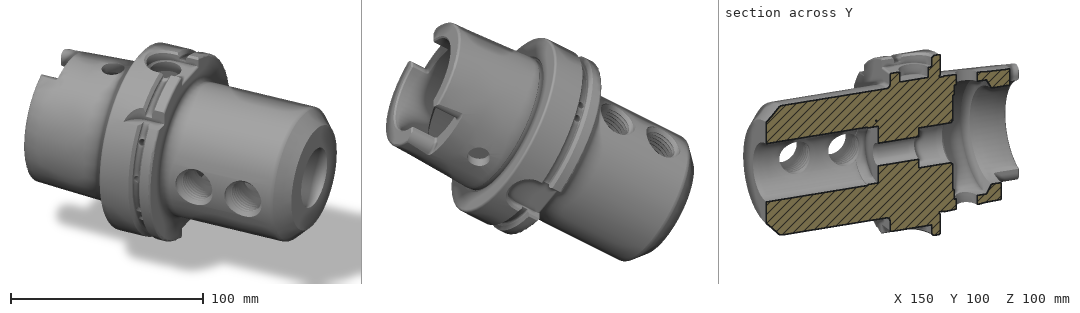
import cadquery as cq
import math


length = 150.0

taper_length = 50.0
taper_root_radius = 37.8
taper_slope = 0.05
mouth_fillet = 1.2
neck_width = 2.0
neck_depth = 0.3

flange_width = 29.1
flange_diameter = 100.0
flange_radius = flange_diameter / 2
flange_front_fillet = 1.2
flange_rear_fillet = 1.0
face_relief_radius = 38.8
face_relief_depth = 0.8
groove_center = 70.0
groove_floor_width = 3.8
groove_mouth_width = 6.5
groove_floor_radius = 46.2
groove_wall_radius = 48.0
groove_floor_fillet = 0.5

shank_radius = 36.0
shank_root_fillet = 2.0
nose_chamfer = 8.0
nose_blend = 2.5

cavity_depth = 42.8
cavity_mouth_radius = 26.5
cavity_mouth_chamfer = 0.8
clamp_shoulder_start = 20.8
clamp_shoulder_angle = 60.0
undercut_radius = 31.5
seat_radius = 25.8
seat_chamfer = 0.8

coolant_seat_radius = 11.0
coolant_seat_chamfer = 1.4
coolant_seat_depth = 19.5
coolant_radius = 6.2
bore_radius = 16.0
bore_depth = 58.0
bore_end_radius = 15.6
bore_end_depth = 6.0

slot_half_width = 9.9
slot_flare_radius = 5.1
slot_flare_height = 32.1
slot_floor_fillet = 1.2
slot_mouth_chamfer = 0.9
upper_slot_depth = 10.0
lower_slot_depth = 15.0

access_hole_x = 35.0
access_hole_radius = 6.0

keyway_center_x = 65.1
keyway_half_width = 10.0
keyway_floor = 44.0
keyway_chamfer = 1.2
chip_hole_radius = 8.1
chip_hole_depth = 5.5

notch_offset = 31.6
notch_corner_radius = 10.0
notch_corner_x = 68.4

groove_hole_radius = 1.8
groove_hole_depth = 6.8
groove_hole_angles = (30.0, 5.0, -20.0, -30.0)

flat_offset = 32.5
flat_start = 98.2
screw_positions = (98.0, 126.0)
thread_minor_radius = 8.8
thread_major_radius = 9.9
thread_pitch = 2.0
thread_count = 8
countersink_radius = 10.6

overshoot = 1.5
slack = 0.2

flange_rear = taper_length + flange_width
core_start = taper_length + face_relief_depth


def revolve_about_x(profile):
    return profile.close().revolve(360, (0, 0, 0), (1, 0, 0))


def fillet_arc_middle(radius):
    """Offset of a quarter arc's middle from the corner it rounds, along each side."""
    return radius * (1 - math.sqrt(0.5))


def taper_body():
    neck_start = taper_length - neck_width
    mouth_radius = taper_root_radius - taper_slope * neck_start
    neck_radius = taper_root_radius - neck_depth
    body = revolve_about_x(
        cq.Workplane("XY")
        .lineTo(0, mouth_radius)
        .lineTo(neck_start, taper_root_radius)
        .lineTo(neck_start + neck_depth, neck_radius)
        .lineTo(core_start, neck_radius)
        .lineTo(core_start, 0)
    )
    return body.faces("<X").edges().fillet(mouth_fillet)


def shank_body():
    root = shank_root_fillet
    middle = fillet_arc_middle(root)
    nose_corner_x = length - nose_chamfer
    body = revolve_about_x(
        cq.Workplane("XY")
        .moveTo(core_start, 0)
        .lineTo(core_start, shank_radius + root)
        .lineTo(flange_rear, shank_radius + root)
        .threePointArc(
            (flange_rear + middle, shank_radius + middle),
            (flange_rear + root, shank_radius),
        )
        .lineTo(nose_corner_x, shank_radius)
        .lineTo(length, shank_radius - nose_chamfer)
        .lineTo(length, 0)
    )
    nose_edge = cq.selectors.BoxSelector(
        (nose_corner_x - slack, -length, -length), (nose_corner_x + slack, length, length)
    )
    return body.edges(nose_edge).edges("%CIRCLE").fillet(nose_blend)


def clamping_flat():
    """Cutter for the flat on +Y, which ends in a 45 degree ramp."""
    ramp = shank_radius - flat_offset
    return (
        cq.Workplane("XY")
        .moveTo(flat_start, flat_offset)
        .lineTo(length, flat_offset)
        .lineTo(length, shank_radius + ramp)
        .lineTo(flat_start - 2 * ramp, shank_radius + ramp)
        .close()
        .extrude(shank_radius, both=True)
    )


def keyway():
    reach = 2 * keyway_half_width + flange_width
    round_end = cq.Workplane("XY").center(keyway_center_x, 0).circle(keyway_half_width)
    straight = cq.Workplane("XY").center(keyway_center_x + reach / 2, 0).rect(reach, 2 * keyway_half_width)
    height = flange_radius - keyway_floor + overshoot
    slot = round_end.extrude(height).union(straight.extrude(height))
    return slot.translate((0, 0, keyway_floor))


def orientation_notch():
    reach = flange_radius
    left = notch_corner_x - notch_corner_radius
    middle = fillet_arc_middle(notch_corner_radius)
    return (
        cq.Workplane("XY", origin=(0, 0, notch_offset))
        .moveTo(flange_rear + overshoot, -notch_offset)
        .lineTo(notch_corner_x, -notch_offset)
        .threePointArc(
            (left + middle, -notch_offset - middle),
            (left, -notch_offset - notch_corner_radius),
        )
        .lineTo(left, -reach)
        .lineTo(flange_rear + overshoot, -reach)
        .close()
        .extrude(reach)
    )


def flange_groove():
    half_floor = groove_floor_width / 2
    half_mouth = groove_mouth_width / 2
    half_flat = half_floor - groove_floor_fillet
    fillet_top = groove_floor_radius + groove_floor_fillet
    middle = fillet_arc_middle(groove_floor_fillet)
    return revolve_about_x(
        cq.Workplane("XY")
        .moveTo(groove_center - half_flat, groove_floor_radius)
        .threePointArc(
            (groove_center - half_floor + middle, groove_floor_radius + middle),
            (groove_center - half_floor, fillet_top),
        )
        .lineTo(groove_center - half_floor, groove_wall_radius)
        .lineTo(groove_center - half_mouth, flange_radius)
        .lineTo(groove_center - half_mouth, flange_radius + overshoot)
        .lineTo(groove_center + half_mouth, flange_radius + overshoot)
        .lineTo(groove_center + half_mouth, flange_radius)
        .lineTo(groove_center + half_floor, groove_wall_radius)
        .lineTo(groove_center + half_floor, fillet_top)
        .threePointArc(
            (groove_center + half_floor - middle, groove_floor_radius + middle),
            (groove_center + half_flat, groove_floor_radius),
        )
    )


def flange_rear_rounding():
    inner_radius = flange_radius - flange_rear_fillet
    middle = fillet_arc_middle(flange_rear_fillet)
    return revolve_about_x(
        cq.Workplane("XY")
        .moveTo(flange_rear - flange_rear_fillet, flange_radius)
        .threePointArc((flange_rear - middle, flange_radius - middle), (flange_rear, inner_radius))
        .lineTo(flange_rear, flange_radius)
    )


def face_relief():
    """Shallow ring sunk into the flange face around the taper root."""
    return revolve_about_x(
        cq.Workplane("XY")
        .moveTo(taper_length, 0)
        .lineTo(taper_length, face_relief_radius)
        .lineTo(core_start, face_relief_radius - face_relief_depth)
        .lineTo(core_start, 0)
    )


def groove_hole(angle):
    """Radial hole, turned from -Y toward +Z by the angle."""
    hole = (
        cq.Workplane("XZ", origin=(groove_center, -groove_floor_radius - 0.3, 0))
        .circle(groove_hole_radius)
        .extrude(-groove_hole_depth - 0.3)
    )
    return hole.rotate((0, 0, 0), (1, 0, 0), -angle)


def flange_body():
    body = cq.Workplane("YZ", origin=(taper_length, 0, 0)).circle(flange_radius).extrude(flange_width)
    body = body.rotate((0, 0, 0), (1, 0, 0), 90)
    body = body.cut(keyway()).cut(keyway().mirror("XY"))
    for side in (1, -1):
        rim = sorted((side * (keyway_floor + overshoot), side * (flange_radius + overshoot)))
        reach = keyway_half_width + slack
        around_keyway = cq.selectors.BoxSelector(
            (taper_length + overshoot, -reach, rim[0]), (flange_rear - slack, reach, rim[1])
        )
        body = body.edges(around_keyway).chamfer(keyway_chamfer)
    body = body.faces("<X").edges().fillet(flange_front_fillet)
    body = body.faces(">X").edges("|Y").fillet(flange_rear_fillet)
    body = body.cut(flange_rear_rounding()).cut(face_relief())
    body = body.cut(orientation_notch()).cut(flange_groove())
    chip_hole = (
        cq.Workplane("XY", origin=(keyway_center_x, 0, keyway_floor - chip_hole_depth))
        .circle(chip_hole_radius)
        .extrude(2 * chip_hole_depth)
    )
    body = body.cut(chip_hole)
    for angle in groove_hole_angles:
        body = body.cut(groove_hole(angle))
    return body


def cavity():
    """Clamping cavity, coolant passage and tool bore as one turned cutter."""
    shoulder_run = (undercut_radius - cavity_mouth_radius) / math.tan(math.radians(clamp_shoulder_angle))
    seat_start = cavity_depth - seat_chamfer
    coolant_seat_end = cavity_depth + coolant_seat_depth
    bore_start = length - bore_depth
    return revolve_about_x(
        cq.Workplane("XY")
        .lineTo(0, cavity_mouth_radius + cavity_mouth_chamfer)
        .lineTo(cavity_mouth_chamfer, cavity_mouth_radius)
        .lineTo(clamp_shoulder_start, cavity_mouth_radius)
        .lineTo(clamp_shoulder_start + shoulder_run, undercut_radius)
        .lineTo(seat_start, undercut_radius)
        .lineTo(seat_start, seat_radius + seat_chamfer)
        .lineTo(cavity_depth, seat_radius)
        .lineTo(cavity_depth, coolant_seat_radius + coolant_seat_chamfer)
        .lineTo(cavity_depth + coolant_seat_chamfer, coolant_seat_radius)
        .lineTo(coolant_seat_end, coolant_seat_radius)
        .lineTo(coolant_seat_end, coolant_radius)
        .lineTo(bore_start - bore_end_depth, coolant_radius)
        .lineTo(bore_start - bore_end_depth, bore_end_radius)
        .lineTo(bore_start, bore_end_radius)
        .lineTo(bore_start, bore_radius)
        .lineTo(length, bore_radius)
        .lineTo(length, 0)
    )


def drive_slot(depth):
    """Slot open at the mouth and on +Z, with rounded flares where it meets the outside."""
    flare_end = slot_half_width + slot_flare_radius
    flare_start = slot_flare_height - slot_flare_radius
    middle = fillet_arc_middle(slot_flare_radius)
    top = taper_root_radius + overshoot
    slot = (
        cq.Workplane("YZ", origin=(-overshoot, 0, 0))
        .lineTo(slot_half_width, 0)
        .lineTo(slot_half_width, flare_start)
        .threePointArc(
            (slot_half_width + middle, slot_flare_height - middle),
            (flare_end, slot_flare_height),
        )
        .lineTo(2 * flare_end, slot_flare_height)
        .lineTo(2 * flare_end, top)
        .lineTo(-2 * flare_end, top)
        .lineTo(-2 * flare_end, slot_flare_height)
        .lineTo(-flare_end, slot_flare_height)
        .threePointArc(
            (-slot_half_width - middle, slot_flare_height - middle),
            (-slot_half_width, flare_start),
        )
        .lineTo(-slot_half_width, 0)
        .close()
        .extrude(depth + overshoot)
    )
    slot = slot.faces(">X").edges().fillet(slot_floor_fillet)
    mouth_width = slot_half_width + slot_mouth_chamfer
    mouth_chamfer = (
        cq.Workplane("XY")
        .moveTo(0, -mouth_width)
        .lineTo(slot_mouth_chamfer, -slot_half_width)
        .lineTo(slot_mouth_chamfer, slot_half_width)
        .lineTo(0, mouth_width)
        .close()
        .extrude(slot_flare_height)
    )
    return slot.union(mouth_chamfer)


def screw_hole():
    """Threaded hole with ring-shaped threads, entering from -Y and opening into the bore."""
    rim = math.sqrt(shank_radius**2 - countersink_radius**2)
    thread_start = rim - (countersink_radius - thread_major_radius)
    profile = cq.Workplane("XY").lineTo(thread_minor_radius, 0)
    for turn in range(thread_count, 0, -1):
        root = thread_start - turn * thread_pitch
        profile = profile.lineTo(thread_minor_radius, -(root - thread_pitch / 2))
        profile = profile.lineTo(thread_major_radius, -root)
    profile = (
        profile.lineTo(thread_minor_radius, -(thread_start - thread_pitch / 2))
        .lineTo(thread_major_radius, -thread_start)
        .lineTo(countersink_radius, -rim)
        .lineTo(countersink_radius, -shank_radius - overshoot)
        .lineTo(0, -shank_radius - overshoot)
    )
    return profile.close().revolve(360, (0, 0, 0), (0, 1, 0))


def access_hole():
    return (
        cq.Workplane("XY", origin=(access_hole_x, 0, -taper_root_radius - overshoot))
        .circle(access_hole_radius)
        .extrude(2 * (taper_root_radius + overshoot))
    )


result = shank_body().cut(clamping_flat()).union(flange_body()).union(taper_body())
result = result.cut(cavity()).cut(access_hole())
result = result.cut(drive_slot(upper_slot_depth)).cut(drive_slot(lower_slot_depth).mirror("XY"))
for screw_x in screw_positions:
    result = result.cut(screw_hole().translate((screw_x, 0, 0)))